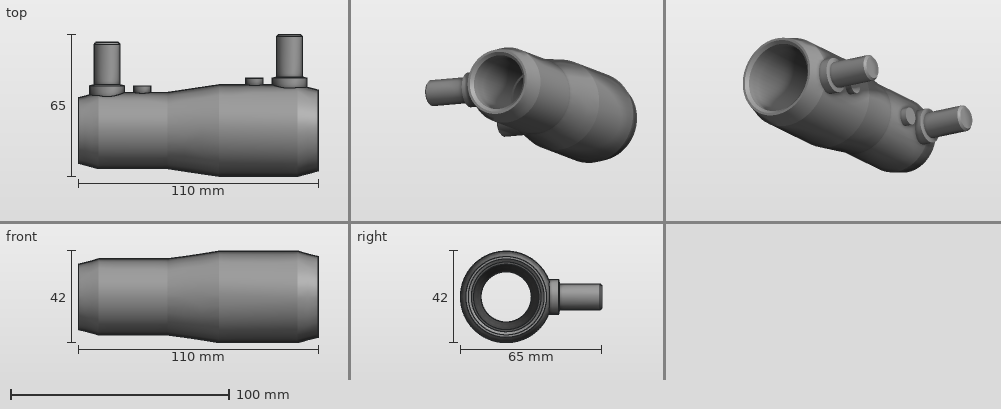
import cadquery as cq

LENGTH = 110.0
WALL = 5.0

SMALL_RADIUS = 17.5
LARGE_RADIUS = 21.0

NOSE_LENGTH = 9.4
NOSE_DROP = 2.5

TAPER_START = 41.0
TAPER_END = 64.5

MOUTH_CHAMFER = 1.4
STOP_STEP = 1.0

TERMINAL_INSET = 13.2
COLLAR_RADIUS = 8.0
COLLAR_CONE_HEIGHT = 0.5
PIN_RADIUS = 6.0
PIN_LENGTH = 20.0
PIN_TIP_CHAMFER = 1.0

BUTTON_INSET = 29.3
BUTTON_RADIUS = 4.0

BOSS_HEIGHT = 3.0
ROOT_CLEARANCE = 1.0

SMALL_END = -LENGTH / 2
LARGE_END = LENGTH / 2


def revolve_about_x(points):
    """Solid of revolution about X from (x, radius) points."""
    return cq.Workplane("XY").polyline(points).close().revolve(360, (0, 0, 0), (1, 0, 0))


def make_body():
    """Outer shape: two straight barrels joined by a cone, with tapered noses."""
    return revolve_about_x([
        (SMALL_END, 0),
        (SMALL_END, SMALL_RADIUS - NOSE_DROP),
        (SMALL_END + NOSE_LENGTH, SMALL_RADIUS),
        (SMALL_END + TAPER_START, SMALL_RADIUS),
        (SMALL_END + TAPER_END, LARGE_RADIUS),
        (LARGE_END - NOSE_LENGTH, LARGE_RADIUS),
        (LARGE_END, LARGE_RADIUS - NOSE_DROP),
        (LARGE_END, 0),
    ])


def make_bore():
    """Two sockets joined by a conical passage that is narrower by the stop step."""
    small_bore = SMALL_RADIUS - WALL
    large_bore = LARGE_RADIUS - WALL
    return revolve_about_x([
        (SMALL_END, 0),
        (SMALL_END, small_bore + MOUTH_CHAMFER),
        (SMALL_END + MOUTH_CHAMFER, small_bore),
        (SMALL_END + TAPER_START, small_bore),
        (SMALL_END + TAPER_START, small_bore - STOP_STEP),
        (SMALL_END + TAPER_END, large_bore - STOP_STEP),
        (SMALL_END + TAPER_END, large_bore),
        (LARGE_END - MOUTH_CHAMFER, large_bore),
        (LARGE_END, large_bore + MOUTH_CHAMFER),
        (LARGE_END, 0),
    ])


def make_terminal(x, body_radius):
    """Collar and pin pointing along +Y, rooted inside the wall."""
    root = body_radius - WALL + ROOT_CLEARANCE
    collar_top = body_radius + BOSS_HEIGHT
    pin_top = collar_top + PIN_LENGTH
    profile = [
        (x, root),
        (x + COLLAR_RADIUS, root),
        (x + COLLAR_RADIUS, collar_top),
        (x + PIN_RADIUS, collar_top + COLLAR_CONE_HEIGHT),
        (x + PIN_RADIUS, pin_top - PIN_TIP_CHAMFER),
        (x + PIN_RADIUS - PIN_TIP_CHAMFER, pin_top),
        (x, pin_top),
    ]
    return cq.Workplane("XY").polyline(profile).close().revolve(360, (x, 0, 0), (x, 1, 0))


def make_button(x, body_radius):
    """Short plain cylinder pointing along +Y, rooted inside the wall."""
    root = body_radius - WALL + ROOT_CLEARANCE
    height = body_radius + BOSS_HEIGHT - root
    return cq.Workplane("XZ", origin=(x, root, 0)).circle(BUTTON_RADIUS).extrude(-height)


result = make_body().cut(make_bore())

for end, inward, radius in [(SMALL_END, 1, SMALL_RADIUS), (LARGE_END, -1, LARGE_RADIUS)]:
    result = result.union(make_terminal(end + inward * TERMINAL_INSET, radius))
    result = result.union(make_button(end + inward * BUTTON_INSET, radius))